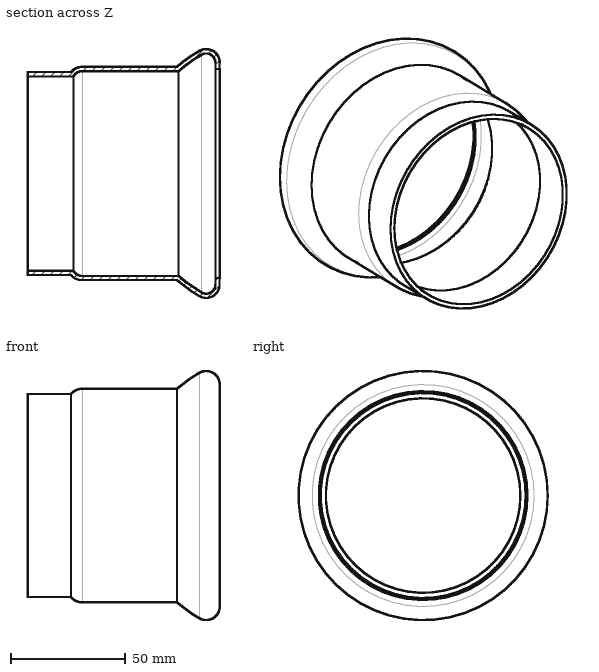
import cadquery as cq
import math

WALL = 2.0
LENGTH = 84.0

SPIGOT_RADIUS = 88.9 / 2
SOCKET_RADIUS = 93.5 / 2
MOUTH_RADIUS = 91.3 / 2
RIM_OUTER_RADIUS = 109.0 / 2

SHOULDER_END_X = 23.9
SHOULDER_BEND = 6.5

RIM_BEND = 6.0
RIM_TANGENT_ANGLE = math.radians(30)
FLARE_BEND = 64.0

RIM_CENTER_X = LENGTH - RIM_BEND
RIM_CENTER_RADIUS = RIM_OUTER_RADIUS - RIM_BEND
FLARE_CENTER_OFFSET = FLARE_BEND - RIM_BEND
FLARE_CENTER_X = RIM_CENTER_X + FLARE_CENTER_OFFSET * math.sin(RIM_TANGENT_ANGLE)
FLARE_CENTER_RADIUS = RIM_CENTER_RADIUS - FLARE_CENTER_OFFSET * math.cos(RIM_TANGENT_ANGLE)


def arc_point(center_x, center_radius, bend, tilt):
    """Point (x, radius) on an arc, tilted from straight outward toward -X."""
    return (center_x - bend * math.sin(tilt), center_radius + bend * math.cos(tilt))


def skin_points(inset):
    """Key points of the outer skin (inset 0) or of the bore (inset WALL)."""
    spigot = SPIGOT_RADIUS - inset
    socket = SOCKET_RADIUS - inset

    shoulder_bend = SHOULDER_BEND - inset
    shoulder_center = SOCKET_RADIUS - SHOULDER_BEND
    shoulder_tilt = math.acos((spigot - shoulder_center) / shoulder_bend)

    flare_bend = FLARE_BEND - inset
    flare_tilt = math.acos((socket - FLARE_CENTER_RADIUS) / flare_bend)
    flare_mid_tilt = (flare_tilt + RIM_TANGENT_ANGLE) / 2

    rim_bend = RIM_BEND - inset
    rim_end_tilt = -math.pi / 2
    rim_mid_tilt = (RIM_TANGENT_ANGLE + rim_end_tilt) / 2

    return {
        "spigot_start": (0, spigot),
        "shoulder_start": arc_point(SHOULDER_END_X, shoulder_center, shoulder_bend, shoulder_tilt),
        "shoulder_mid": arc_point(SHOULDER_END_X, shoulder_center, shoulder_bend, shoulder_tilt / 2),
        "shoulder_end": (SHOULDER_END_X, socket),
        "flare_start": arc_point(FLARE_CENTER_X, FLARE_CENTER_RADIUS, flare_bend, flare_tilt),
        "flare_mid": arc_point(FLARE_CENTER_X, FLARE_CENTER_RADIUS, flare_bend, flare_mid_tilt),
        "rim_start": arc_point(RIM_CENTER_X, RIM_CENTER_RADIUS, rim_bend, RIM_TANGENT_ANGLE),
        "rim_mid": arc_point(RIM_CENTER_X, RIM_CENTER_RADIUS, rim_bend, rim_mid_tilt),
        "rim_end": arc_point(RIM_CENTER_X, RIM_CENTER_RADIUS, rim_bend, rim_end_tilt),
    }


def wall_profile():
    """Closed half-section of the wall: along the skin, over the lip, back along the bore."""
    skin = skin_points(0)
    bore = skin_points(WALL)
    return (
        cq.Workplane("XY")
        .moveTo(*skin["spigot_start"])
        .lineTo(*skin["shoulder_start"])
        .threePointArc(skin["shoulder_mid"], skin["shoulder_end"])
        .lineTo(*skin["flare_start"])
        .threePointArc(skin["flare_mid"], skin["rim_start"])
        .threePointArc(skin["rim_mid"], skin["rim_end"])
        .lineTo(LENGTH, MOUTH_RADIUS)
        .lineTo(LENGTH - WALL, MOUTH_RADIUS)
        .lineTo(*bore["rim_end"])
        .threePointArc(bore["rim_mid"], bore["rim_start"])
        .threePointArc(bore["flare_mid"], bore["flare_start"])
        .lineTo(*bore["shoulder_end"])
        .threePointArc(bore["shoulder_mid"], bore["shoulder_start"])
        .lineTo(*bore["spigot_start"])
        .close()
    )


result = wall_profile().revolve(360, (0, 0, 0), (1, 0, 0))